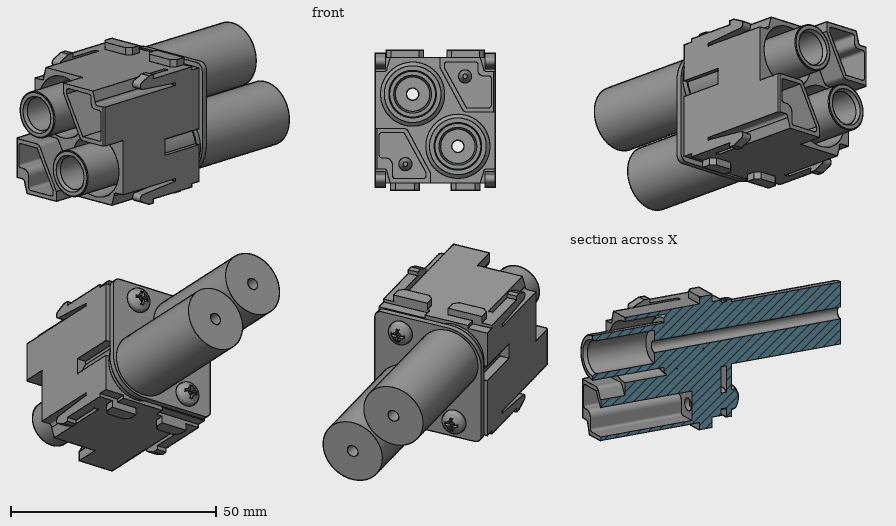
import cadquery as cq

LENGTH = 69.8
BODY_WIDTH = 29.3
BODY_HEIGHT = 30.6
HALF_WIDTH = BODY_WIDTH / 2
HALF_HEIGHT = BODY_HEIGHT / 2
OVERRUN = 0.7

TOWER_FRONT = 2.3
BODY_FRONT = 9.1
BODY_REAR = 36.3
PLATE_FRONT = 37.7
PLATE_REAR = 39.15

POLE_X = -5.5
POLE_Z = 6.35
TUBE_RADIUS = 8.0
SPACER_RADIUS = 8.3
CHAMBER_RADIUS = 7.8
CHAMBER_END = 20.95
SHOULDER_RADIUS = 6.9
SHOULDER_BEVEL = 0.9
SOCKET_RADIUS = 5.8
SOCKET_BEVEL = 0.2
BORE_MOUTH_RADIUS = 4.6
BORE_RADIUS = 4.2
BORE_LEAD_IN = 1.05
BORE_END = 17.45
WIRE_HOLE_RADIUS = 1.5

TOWER_INNER_X = 1.2
TOWER_CORNER_X = 7.0
TOWER_BEND_Z = 12.8
TOWER_BASE_Z = 1.95
TOWER_ROUND = 1.4
TOWER_BEVEL = 0.4
POCKET_FLOOR = 27.9
POCKET_LEFT = 2.2
POCKET_RIGHT = 13.7
POCKET_TOP = 14.25
POCKET_BOTTOM = 3.0
POCKET_CORNER_X = 7.6
POCKET_STEP_X = 10.4
UPPER_STEP_Z = 10.8
LOWER_STEP_Z = 9.15
POCKET_ROUND = 0.7
UPPER_STEP_ROUND = 1.25
LOWER_STEP_ROUND = 1.8

SCREW_X = 7.25
SCREW_Z = 10.7
SCREW_RADIUS = 1.6
SCREW_TIP_RADIUS = 0.55
SCREW_TIP_START = 28.6
SCREW_SHANK_START = 31.4
SCREW_BOSS_RADIUS = 2.7
HEAD_RADIUS = 3.1
HEAD_RIM = 0.6
HEAD_HEIGHT = 2.4
HEAD_SHOULDER = 1.6
HEAD_SHOULDER_RADIUS = 2.4
HEAD_TOP_RADIUS = 1.2
DRIVE_WIDTH = 0.7
DRIVE_LENGTH = 3.5
DRIVE_DEPTH = 1.05

PLATE_WIDTH = 28.8
PLATE_HEIGHT = 30.15
PLATE_LARGE_ROUND = 9.1
PLATE_SMALL_ROUND = 1.9

WINDOW_FRONT = 24.15
WINDOW_TOP = 5.1
WINDOW_BOTTOM = 1.05
WINDOW_DEPTH = 2.45

KEY_FRONT = 30.1
KEY_REAR = 33.7
KEY_TIP_Z = 17.1
KEY_BEVEL = 1.2
KEY_CENTRE_X = 7.4
TOP_KEY_WIDTH = 9.15
BOTTOM_KEY_WIDTH = 7.05

STEP_DEPTH = 0.85
LAND_LEFT = -9.4
LAND_RIGHT = 2.15

LATCH_ROOT = 27.85
LATCH_ROOT_Z = 12.5
LATCH_INNER_X = 12.1
NOTCH_FLOOR_Z = 11.9
NOTCH_ROUND_X = 12.5
NOTCH_WALL_X = 11.7
NOTCH_WALL_Z = 12.7
NOTCH_TOP_X = 10.95
HOOK_REAR = 19.95
HOOK_CREST_FRONT = 18.4
HOOK_CREST_Z = 16.3
NOSE_TIP = 15.3
NOSE_TIP_Z = 14.3
NOSE_REAR = 16.0
NOSE_LOWER_Z = 13.4


def section(y_rear):
    """Sketch plane across the insert; extruding from it runs toward the mating end."""
    return cq.Workplane("XZ", origin=(0, y_rear, 0))


def block(x_range, y_range, z_range):
    size = [span[1] - span[0] for span in (x_range, y_range, z_range)]
    return (
        cq.Workplane("XY")
        .box(*size, centered=False)
        .translate((x_range[0], y_range[0], z_range[0]))
    )


def cylinder(x, z, radius, y_front, y_rear):
    return section(y_rear).center(x, z).circle(radius).extrude(y_rear - y_front)


def turned(profile, x, z):
    """Revolve a closed list of (radius, y) points about the Y-parallel line at (x, z)."""
    return (
        cq.Workplane("XY")
        .polyline(profile)
        .close()
        .revolve(360, (0, 0, 0), (0, 1, 0))
        .translate((x, 0, z))
    )


def half_turn(shape):
    return shape.rotate((0, 0, 0), (0, 1, 0), 180)


def with_half_turn(shape):
    return shape.union(half_turn(shape))


def round_edge(shape, point, radius):
    """Fillet the one edge whose middle is nearest to the point."""
    return shape.edges(cq.selectors.NearestToPointSelector(point)).fillet(radius)


def tower():
    outline = (
        section(BODY_FRONT + OVERRUN)
        .moveTo(TOWER_INNER_X, HALF_HEIGHT)
        .lineTo(TOWER_INNER_X, TOWER_BEND_Z)
        .lineTo(TOWER_CORNER_X, TOWER_BASE_Z)
        .lineTo(HALF_WIDTH, TOWER_BASE_Z)
        .lineTo(HALF_WIDTH, HALF_HEIGHT)
        .close()
        .extrude(BODY_FRONT + OVERRUN - TOWER_FRONT)
    )
    rounded = round_edge(outline, (TOWER_CORNER_X, BODY_FRONT, TOWER_BASE_Z), TOWER_ROUND)
    return rounded.faces("<Y").edges(">X").chamfer(TOWER_BEVEL)


def tower_pocket(step_z, step_round):
    """Pocket of the +X +Z tower, stepped around the latch notch."""
    depth = POCKET_FLOOR - TOWER_FRONT + OVERRUN
    pocket = (
        section(POCKET_FLOOR)
        .moveTo(POCKET_LEFT, POCKET_TOP)
        .lineTo(POCKET_LEFT, TOWER_BEND_Z)
        .lineTo(POCKET_CORNER_X, POCKET_BOTTOM)
        .lineTo(POCKET_RIGHT, POCKET_BOTTOM)
        .lineTo(POCKET_RIGHT, step_z)
        .lineTo(POCKET_STEP_X, step_z)
        .lineTo(POCKET_STEP_X, POCKET_TOP)
        .close()
        .extrude(depth)
    )
    corner_rounds = (
        (POCKET_STEP_X, step_z, step_round),
        (POCKET_STEP_X, POCKET_TOP, POCKET_ROUND),
        (POCKET_RIGHT, step_z, POCKET_ROUND),
        (POCKET_RIGHT, POCKET_BOTTOM, POCKET_ROUND),
        (POCKET_LEFT, POCKET_TOP, POCKET_ROUND),
    )
    for x, z, radius in corner_rounds:
        pocket = round_edge(pocket, (x, POCKET_FLOOR - depth / 2, z), radius)
    return pocket


def contact():
    """Socket, shouldered insulator and cable tube of one pole, before boring."""
    profile = [
        (0, 0),
        (SOCKET_RADIUS - SOCKET_BEVEL, 0),
        (SOCKET_RADIUS, SOCKET_BEVEL),
        (SOCKET_RADIUS, CHAMBER_END - SHOULDER_BEVEL),
        (SHOULDER_RADIUS, CHAMBER_END - SHOULDER_BEVEL),
        (CHAMBER_RADIUS, CHAMBER_END),
        (TUBE_RADIUS, CHAMBER_END),
        (TUBE_RADIUS, LENGTH),
        (0, LENGTH),
    ]
    return turned(profile, POLE_X, POLE_Z)


def contact_bore():
    profile = [
        (0, -OVERRUN),
        (BORE_MOUTH_RADIUS, -OVERRUN),
        (BORE_MOUTH_RADIUS, 0),
        (BORE_RADIUS, BORE_LEAD_IN),
        (BORE_RADIUS, BORE_END),
        (WIRE_HOLE_RADIUS, BORE_END),
        (WIRE_HOLE_RADIUS, LENGTH + OVERRUN),
        (0, LENGTH + OVERRUN),
    ]
    return turned(profile, POLE_X, POLE_Z)


def screw():
    """Domed head with a cross drive, and a shank ending in a blunt tip."""
    head_top = PLATE_REAR + HEAD_HEIGHT
    body = (
        cq.Workplane("XY")
        .moveTo(0, SCREW_TIP_START)
        .lineTo(SCREW_TIP_RADIUS, SCREW_TIP_START)
        .lineTo(SCREW_RADIUS, SCREW_SHANK_START)
        .lineTo(SCREW_RADIUS, PLATE_REAR)
        .lineTo(HEAD_RADIUS, PLATE_REAR)
        .lineTo(HEAD_RADIUS, PLATE_REAR + HEAD_RIM)
        .tangentArcPoint((HEAD_SHOULDER_RADIUS, PLATE_REAR + HEAD_SHOULDER), relative=False)
        .lineTo(HEAD_TOP_RADIUS, head_top)
        .lineTo(0, head_top)
        .close()
        .revolve(360, (0, 0, 0), (0, 1, 0))
    )
    for width, height in ((DRIVE_LENGTH, DRIVE_WIDTH), (DRIVE_WIDTH, DRIVE_LENGTH)):
        body = body.cut(section(head_top).rect(width, height).extrude(DRIVE_DEPTH))
    return body.translate((SCREW_X, 0, SCREW_Z))


def screw_hole():
    return cylinder(SCREW_X, SCREW_Z, SCREW_RADIUS, POCKET_FLOOR - OVERRUN, BODY_REAR)


def window():
    return block(
        (-HALF_WIDTH - OVERRUN, -HALF_WIDTH + WINDOW_DEPTH),
        (WINDOW_FRONT, BODY_REAR + OVERRUN),
        (WINDOW_BOTTOM, WINDOW_TOP),
    )


def rear_steps():
    y_range = (KEY_REAR, BODY_REAR + OVERRUN)
    z_range = (HALF_HEIGHT - STEP_DEPTH, HALF_HEIGHT + OVERRUN)
    left = block((-HALF_WIDTH - OVERRUN, LAND_LEFT), y_range, z_range)
    right = block((LAND_RIGHT, HALF_WIDTH + OVERRUN), y_range, z_range)
    return left.union(right)


def key_pair(width):
    """Two coding keys on the top face, beveled at their front corners."""
    keys = cq.Workplane("XY")
    for x in (-KEY_CENTRE_X, KEY_CENTRE_X):
        key = block(
            (x - width / 2, x + width / 2),
            (KEY_FRONT, KEY_REAR),
            (HALF_HEIGHT - OVERRUN, KEY_TIP_Z),
        )
        keys = keys.union(key.edges("|Z and <Y").chamfer(KEY_BEVEL))
    return keys


def in_four_corners(shape):
    pair = shape.union(shape.mirror("YZ"))
    return pair.union(pair.mirror("XY"))


def latch_notch():
    """Relief at the +X +Z corner that frees the latch arm."""
    outer_x = HALF_WIDTH + OVERRUN
    return (
        section(LATCH_ROOT)
        .moveTo(outer_x, NOTCH_FLOOR_Z)
        .lineTo(NOTCH_ROUND_X, NOTCH_FLOOR_Z)
        .tangentArcPoint((NOTCH_WALL_X, NOTCH_WALL_Z), relative=False)
        .lineTo(NOTCH_TOP_X, HALF_HEIGHT)
        .lineTo(NOTCH_TOP_X, HALF_HEIGHT + OVERRUN)
        .lineTo(outer_x, HALF_HEIGHT + OVERRUN)
        .close()
        .extrude(LATCH_ROOT - TOWER_FRONT + OVERRUN)
    )


def latch():
    """Sprung arm with a hook and a rounded nose at the +X +Z corner."""
    return (
        cq.Workplane("YZ", origin=(LATCH_INNER_X, 0, 0))
        .moveTo(LATCH_ROOT + OVERRUN, LATCH_ROOT_Z)
        .lineTo(LATCH_ROOT, LATCH_ROOT_Z)
        .lineTo(NOSE_REAR, NOSE_LOWER_Z)
        .threePointArc((NOSE_TIP, NOSE_TIP_Z), (NOSE_REAR, HALF_HEIGHT))
        .lineTo(HOOK_CREST_FRONT, HOOK_CREST_Z)
        .lineTo(HOOK_REAR, HOOK_CREST_Z)
        .lineTo(HOOK_REAR, HALF_HEIGHT)
        .lineTo(LATCH_ROOT + OVERRUN, HALF_HEIGHT)
        .close()
        .extrude(HALF_WIDTH - LATCH_INNER_X)
    )


def clamp_plate():
    plate = section(PLATE_REAR).rect(PLATE_WIDTH, PLATE_HEIGHT).extrude(PLATE_REAR - PLATE_FRONT)
    middle = (PLATE_FRONT + PLATE_REAR) / 2
    for side_x, side_z in ((-1, 1), (1, -1), (1, 1), (-1, -1)):
        corner = (side_x * PLATE_WIDTH / 2, middle, side_z * PLATE_HEIGHT / 2)
        radius = PLATE_LARGE_ROUND if side_x != side_z else PLATE_SMALL_ROUND
        plate = round_edge(plate, corner, radius)
    return plate


def spacer():
    sleeve = cylinder(POLE_X, POLE_Z, SPACER_RADIUS, BODY_REAR, PLATE_FRONT)
    boss = cylinder(SCREW_X, SCREW_Z, SCREW_BOSS_RADIUS, BODY_REAR, PLATE_FRONT)
    return with_half_turn(sleeve.union(boss))


chamber = cylinder(POLE_X, POLE_Z, CHAMBER_RADIUS, BODY_FRONT - OVERRUN, CHAMBER_END)
openings = chamber.union(screw_hole()).union(window()).union(rear_steps())
housing = block((-HALF_WIDTH, HALF_WIDTH), (BODY_FRONT, BODY_REAR), (-HALF_HEIGHT, HALF_HEIGHT))
housing = housing.union(with_half_turn(tower()))
housing = housing.cut(tower_pocket(UPPER_STEP_Z, UPPER_STEP_ROUND))
housing = housing.cut(half_turn(tower_pocket(LOWER_STEP_Z, LOWER_STEP_ROUND)))
housing = housing.cut(with_half_turn(openings)).cut(in_four_corners(latch_notch()))
housing = housing.union(in_four_corners(latch()))
housing = housing.union(key_pair(TOP_KEY_WIDTH)).union(key_pair(BOTTOM_KEY_WIDTH).mirror("XY"))

result = housing.union(spacer()).union(clamp_plate())
result = result.union(with_half_turn(contact())).union(with_half_turn(screw()))
result = result.cut(with_half_turn(contact_bore()))